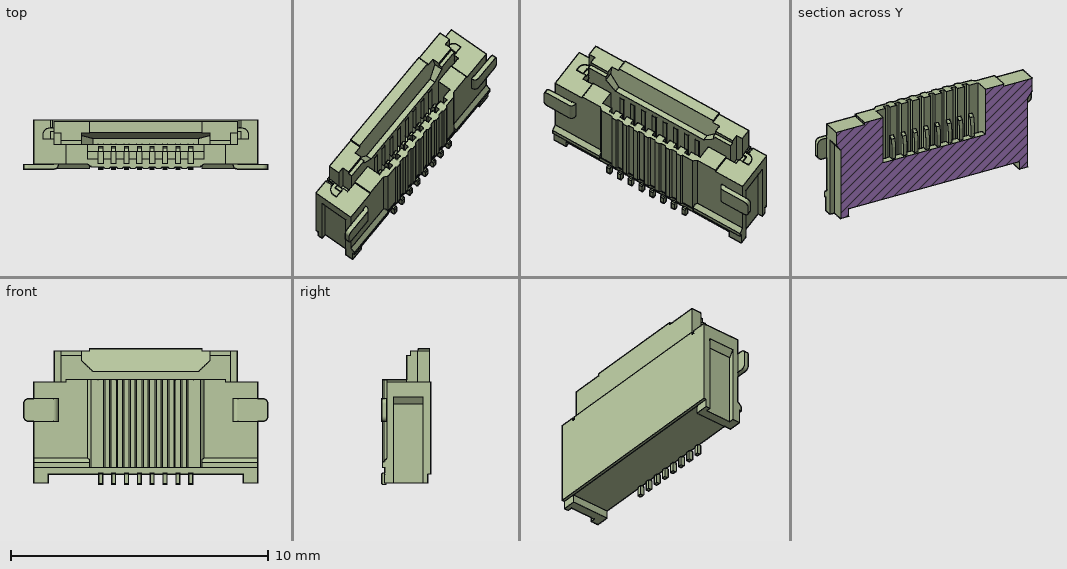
import cadquery as cq


housing_width = 8.72
housing_top = 3.94
rim_top = 4.03
rim_width = 6.20
underside = 0.34
foot_width = 0.57
back_step_depth = 0.115
back_step_height = 0.35

base_front = -1.80
panel_front = -1.71
block_front = -1.83
ledge_front = -1.89
ledge_bottom = 0.60
ledge_top = 0.80
block_width = 4.24
ledge_gap_width = 4.36
block_slope_width = 0.14
ledge_slope_height = 0.17

contact_count = 8
contact_pitch = 0.5
contact_width = 0.16
rib_count = contact_count - 1
rib_base_width = 0.29
rib_tip_width = 0.18

cover_width = 7.12
cover_back = -0.055
cover_front = -0.95
cover_top = 5.14
shelf_front = -0.80
shelf_height = 4.97
cover_notch_width = 0.26
cover_notch_back = -0.515
cover_notch_bottom = 3.44
strip_width = 4.38
strip_top = 5.235

recess_width = 5.0
recess_floor_width = 4.10
recess_corner_height = 4.77
recess_bottom = 4.34
recess_top_back = -0.49
recess_bottom_back = -0.72

cavity_width = 4.54
cavity_front = -1.52
cavity_step = -1.22
cavity_floor = 1.4
cavity_shelf = 2.0
slot_width = 0.20
slot_floor = 1.0
slot_front = -1.69
cover_slot_back = -0.70
contact_back = -1.03
contact_knee = -1.09
contact_back_top = 2.5
contact_knee_top = 2.85
contact_front_top = 2.95

tail_back = -1.74
tail_front = -1.92
tail_bottom = -0.06
tail_top = 0.40
tail_bevel = 0.05

tab_reach = 4.75
tab_inner = 3.40
tab_bottom = 2.40
tab_top = 3.29
tab_back = -1.73
tab_front = -1.92
tab_corner_radius = 0.2
tab_bend_radius = 0.18

pocket_depth = 0.2
pocket_back = -0.31
pocket_front = -1.46
pocket_top = 3.35
pocket_inner_top = 3.08

rear_notch_inner = 3.62
notch_outer = 3.71
rear_notch_front = -0.30
side_notch_back = -0.45
side_notch_front = -0.735
notch_depth = 0.1

corner_recess_outer = 4.0
corner_recess_back = -0.31
corner_recess_radius = 0.28
corner_recess_depth = 0.04


def box(x_start, x_end, y_start, y_end, z_start, z_end):
    """Box between two opposite corners, with each start below its end."""
    size = (x_end - x_start, y_end - y_start, z_end - z_start)
    return cq.Workplane("XY").box(*size, centered=False).translate((x_start, y_start, z_start))


def centred_box(width, y_start, y_end, z_start, z_end):
    """Box that is symmetric about the YZ plane."""
    return box(-width / 2, width / 2, y_start, y_end, z_start, z_end)


def side_profile(points, x_start, x_end):
    """Prism along X from (y, z) points."""
    return cq.Workplane("YZ").polyline(points).close().extrude(x_end - x_start).translate((x_start, 0, 0))


def plan_profile(points, z_start, z_end):
    """Prism along Z from (x, y) points."""
    return cq.Workplane("XY").polyline(points).close().extrude(z_end - z_start).translate((0, 0, z_start))


def both_sides(shape):
    """The shape together with its mirror image about the YZ plane."""
    return shape.union(shape.mirror("YZ"))


def row_positions(count):
    """X positions of a centred row at the contact pitch."""
    return [(index - (count - 1) / 2) * contact_pitch for index in range(count)]


def make_housing():
    body = centred_box(housing_width, panel_front, 0, 0, housing_top)
    rim = centred_box(rim_width, panel_front, cover_front, housing_top, rim_top)
    base = centred_box(housing_width, base_front, panel_front, 0, ledge_bottom)
    foot_gap = centred_box(housing_width - 2 * foot_width, base_front, 0, 0, underside)
    back_step = centred_box(housing_width, -back_step_depth, 0, 0, back_step_height)
    return body.union(rim).union(base).cut(foot_gap).cut(back_step)


def make_front_block():
    tip = block_width / 2
    root = tip + block_slope_width
    outline = [(-root, panel_front), (-tip, block_front), (tip, block_front), (root, panel_front)]
    return plan_profile(outline, ledge_bottom, rim_top)


def make_ledges():
    profile = [
        (panel_front, ledge_bottom),
        (ledge_front, ledge_bottom),
        (ledge_front, ledge_top),
        (panel_front, ledge_top + ledge_slope_height),
    ]
    return both_sides(side_profile(profile, ledge_gap_width / 2, housing_width / 2))


def make_rib(x):
    base = rib_base_width / 2
    tip = rib_tip_width / 2
    outline = [
        (x - base, block_front),
        (x - tip, ledge_front),
        (x + tip, ledge_front),
        (x + base, block_front),
    ]
    return plan_profile(outline, ledge_bottom, rim_top)


def make_cover():
    profile = [
        (cover_back, housing_top),
        (cover_front, housing_top),
        (cover_front, shelf_height),
        (shelf_front, shelf_height),
        (shelf_front, cover_top),
        (cover_back, cover_top),
    ]
    half_width = cover_width / 2
    cover = side_profile(profile, -half_width, half_width)
    strip = centred_box(strip_width, shelf_front, cover_back, cover_top, strip_top)
    return cover.union(strip)


def make_cover_notches():
    outer = cover_width / 2
    inner = outer - cover_notch_width
    return both_sides(box(inner, outer, cover_front, cover_notch_back, cover_notch_bottom, cover_top))


def make_cover_recess():
    slope = [
        (recess_top_back, strip_top),
        (recess_bottom_back, recess_bottom),
        (cover_front, recess_bottom),
        (cover_front, strip_top),
    ]
    half_width = recess_width / 2
    half_floor = recess_floor_width / 2
    outline = [
        (-half_width, strip_top),
        (-half_width, recess_corner_height),
        (-half_floor, recess_bottom),
        (half_floor, recess_bottom),
        (half_width, recess_corner_height),
        (half_width, strip_top),
    ]
    face = cq.Workplane("XZ").polyline(outline).close().extrude(-cover_front)
    return side_profile(slope, -half_width, half_width).intersect(face)


def make_cavity():
    upper = centred_box(cavity_width, cavity_front, cover_front, cavity_shelf, rim_top)
    lower = centred_box(cavity_width, cavity_front, cavity_step, cavity_floor, cavity_shelf)
    return upper.union(lower)


def make_contact_slot(x):
    x_start = x - slot_width / 2
    x_end = x + slot_width / 2
    front_slot = box(x_start, x_end, slot_front, cavity_step, slot_floor, rim_top)
    cover_slot = box(x_start, x_end, cover_front, cover_slot_back, cavity_shelf, rim_top)
    return front_slot.union(cover_slot)


def make_contact(x):
    profile = [
        (contact_back, cavity_shelf),
        (cavity_step, cavity_shelf),
        (cavity_step, contact_front_top),
        (contact_knee, contact_knee_top),
        (contact_back, contact_back_top),
    ]
    return side_profile(profile, x - contact_width / 2, x + contact_width / 2)


def make_tail(x):
    tail = box(x - contact_width / 2, x + contact_width / 2, tail_front, tail_back, tail_bottom, tail_top)
    return tail.edges("|X and <Y").chamfer(tail_bevel)


def make_tabs():
    plate = box(tab_inner, tab_reach, tab_front, tab_back, tab_bottom, tab_top)
    plate = plate.edges("|Y and >X").fillet(tab_corner_radius)
    plate = plate.edges("|Z and <X and <Y").fillet(tab_bend_radius)
    root = box(tab_inner, tab_inner + tab_bend_radius, tab_back, panel_front, tab_bottom, tab_top)
    return both_sides(plate.union(root))


def make_end_pockets():
    outer = housing_width / 2
    inner = outer - pocket_depth
    outline = [(inner, 0), (outer, 0), (outer, pocket_top), (inner, pocket_inner_top)]
    pocket = cq.Workplane("XZ").polyline(outline).close().extrude(pocket_back - pocket_front)
    return both_sides(pocket.translate((0, pocket_back, 0)))


def make_top_notches():
    notch_floor = housing_top - notch_depth
    rear = box(rear_notch_inner, notch_outer, rear_notch_front, 0, notch_floor, housing_top)
    side = box(cover_width / 2, notch_outer, side_notch_front, side_notch_back, notch_floor, housing_top)
    return both_sides(rear.union(side))


def make_corner_recesses():
    recess_floor = housing_top - corner_recess_depth
    inner = cover_width / 2
    recess = box(inner, corner_recess_outer, side_notch_front, corner_recess_back, recess_floor, housing_top)
    return both_sides(recess.edges("|Z and >X and >Y").fillet(corner_recess_radius))


result = make_housing().union(make_front_block()).union(make_ledges()).union(make_cover())
for rib_x in row_positions(rib_count):
    result = result.union(make_rib(rib_x))

result = result.cut(make_cover_recess()).cut(make_cavity())
result = result.cut(make_end_pockets()).cut(make_top_notches())
result = result.cut(make_cover_notches()).cut(make_corner_recesses())

for contact_x in row_positions(contact_count):
    result = result.cut(make_contact_slot(contact_x))
    result = result.union(make_contact(contact_x)).union(make_tail(contact_x))

result = result.union(make_tabs())